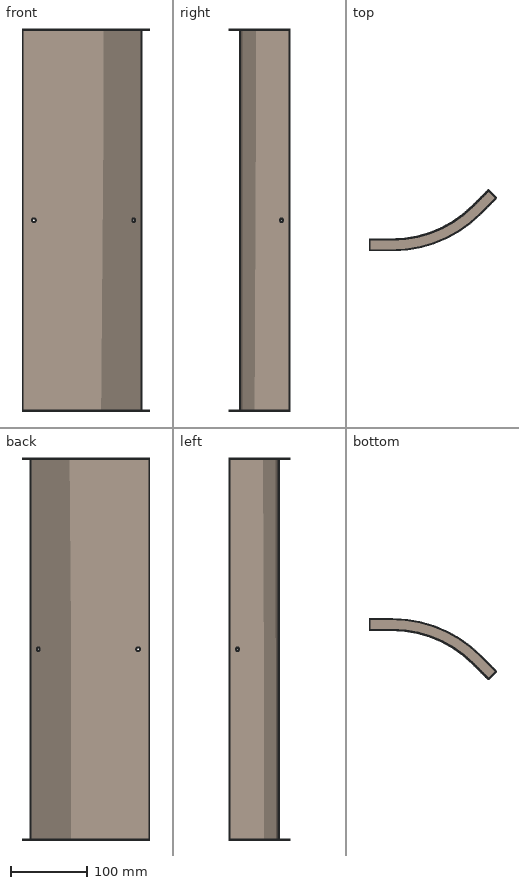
import cadquery as cq
import math

sheet_thickness = 0.8
overall_height = 502.0
flange_depth = 14.8
flat_length = 29.79
bend_angle = 45.0
convex_radius = 150.0
hole_diameter = 5.0

inner_radius = convex_radius - sheet_thickness

bend = math.radians(bend_angle)
along_end = (math.cos(bend), math.sin(bend))
normal_end = (-math.sin(bend), math.cos(bend))


def curved_band(depth, height):
    """Strip, arc and tilted strip, reaching `depth` outward from the concave face (y = 0)."""
    outer_radius = inner_radius + depth

    def arc_point(radius, angle):
        return (flat_length + radius * math.sin(angle), inner_radius - radius * math.cos(angle))

    def strip_end(radius):
        x, y = arc_point(radius, bend)
        return (x + flat_length * along_end[0], y + flat_length * along_end[1])

    return (
        cq.Workplane("XY")
        .moveTo(0, 0)
        .lineTo(*arc_point(inner_radius, 0))
        .threePointArc(arc_point(inner_radius, bend / 2), arc_point(inner_radius, bend))
        .lineTo(*strip_end(inner_radius))
        .lineTo(*strip_end(outer_radius))
        .lineTo(*arc_point(outer_radius, bend))
        .threePointArc(arc_point(outer_radius, bend / 2), arc_point(outer_radius, 0))
        .lineTo(0, -depth)
        .close()
        .extrude(height)
    )


def strip_hole(x, y, normal):
    """Cutter through the sheet at mid height, centred on the concave-face point (x, y)."""
    cutter_length = 4 * sheet_thickness
    start = cq.Vector(
        x - normal[0] * cutter_length / 2,
        y - normal[1] * cutter_length / 2,
        overall_height / 2,
    )
    axis = cq.Vector(normal[0], normal[1], 0)
    return cq.Workplane(cq.Solid.makeCylinder(hole_diameter / 2, cutter_length, start, axis))


panel = curved_band(sheet_thickness, overall_height)
flange = curved_band(flange_depth, sheet_thickness)
top_flange = flange.translate((0, 0, overall_height - sheet_thickness))
body = panel.union(flange).union(top_flange)

strip_middle = flat_length / 2
tilted_hole_x = flat_length + inner_radius * math.sin(bend) + strip_middle * along_end[0]
tilted_hole_y = inner_radius * (1 - math.cos(bend)) + strip_middle * along_end[1]

straight_hole = strip_hole(strip_middle, 0, (0, 1))
tilted_hole = strip_hole(tilted_hole_x, tilted_hole_y, normal_end)

result = body.cut(straight_hole).cut(tilted_hole)